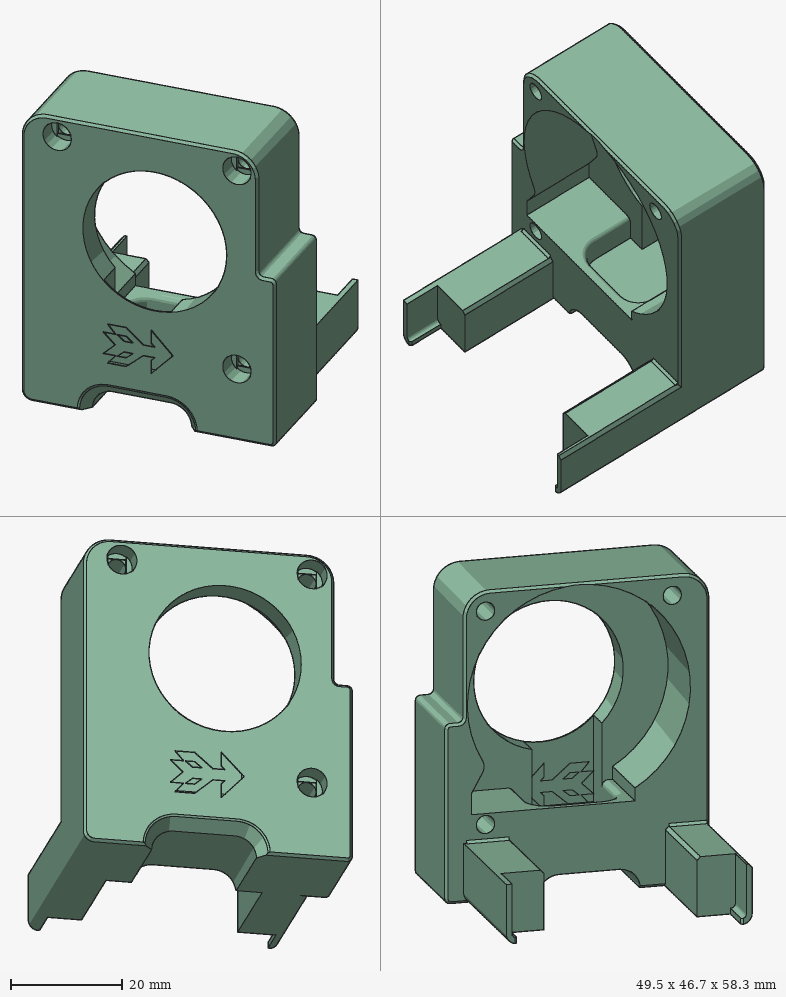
import math

import cadquery as cq

body_width = 49.5
body_height = 58.26
body_depth = 19.7
upper_width = 46.1
step_height = 33.8
top_radius = 5.0
step_fillet = 1.0
left_foot_radius = 2.0
right_corner_radius = 1.0
edge_chamfer = 0.5

arm_reach = 46.7
arm_height = 11.25
arm_block_end = 39.75
left_arm_width = 8.3
right_arm_width = 9.1
arm_wall = 1.1
arm_foot_width = 2.05
arm_top_chamfer = 0.65
arm_foot_chamfer = 0.4
arm_root_chamfer = 0.5

window_diameter = 28.0
window_x = 26.0
window_z = 37.0
front_wall = 5.5
gear_pocket_radius = 20.9
gear_pocket_x = 24.5

screw_diameter = 3.4
counterbore_diameter = 5.5
counterbore_depth = 4.0
bridge_step = 0.3
screw_left_x = 7.0
screw_right_x = 42.0
screw_top_z = 54.45
screw_low_z = 14.45

recess_left = 14.0
recess_right = 44.6
recess_floor = 16.5
recess_top = 20.5
recess_edge_fillet = 1.2
roof_run_per_rise = 0.55
ridge_fillet = 2.35

roof_x = recess_right - gear_pocket_x
roof_z = recess_top - window_z
roof_square = 1 + roof_run_per_rise**2
roof_mixed = roof_z - roof_run_per_rise * roof_x
roof_excess = roof_x**2 + roof_z**2 - gear_pocket_radius**2
ridge_rise = (-roof_mixed - math.sqrt(roof_mixed**2 - roof_square * roof_excess)) / roof_square
ridge_x = recess_right - roof_run_per_rise * ridge_rise
ridge_z = recess_top + ridge_rise

hollow_left = 16.0
hollow_right = 32.5
hollow_front_right = 29.1
hollow_floor = 11.0
hollow_rear = 17.5
hollow_corner_radius = 4.0
skin = 0.3

notch_x = 22.6
notch_flat = 11.2
throat_radius = 4.05
throat_height = 3.9
flare_radius = 5.7
flare_height = 5.95
flare_depth = 2.2
rim_radius = 6.1
rim_height = 6.35
rim_depth = 0.15

arrow_tail_x = 15.95
arrow_z = 14.6
arrow_depth = 0.2
arrow_length = 13.55
head_base = 9.35
head_barb = 10.0
head_half = 4.35
shaft_half = 1.08
shaft_start = 7.8
tail_notch = 2.3
inner_vane_half = 2.16
outer_vane_half = 3.93
outer_vane_start = 0.85
outer_vane_end = 4.45
vane_step = 2.4
slit_start = 2.75
slit_end = 4.45
slit_slant = 1.3


def box(x0, x1, y0, y1, z0, z1):
    return cq.Workplane("XY").box(x1 - x0, y1 - y0, z1 - z0, centered=False).translate((x0, y0, z0))


def profile_plane(y):
    """Plane at depth y whose local axes are X and Z; extrude by a negative length to go toward +Y."""
    return cq.Workplane("XZ", origin=(0, y, 0))


def cylinder(x, z, diameter, y0, y1):
    return profile_plane(y0).center(x, z).circle(diameter / 2).extrude(y0 - y1)


def make_body():
    outline = [
        (0, 0),
        (body_width, 0),
        (body_width, step_height),
        (upper_width, step_height),
        (upper_width, body_height),
        (0, body_height),
    ]
    body = profile_plane(0).polyline(outline).close().extrude(-body_depth)
    corner_radii = [
        (0, 0, left_foot_radius),
        (body_width, 0, right_corner_radius),
        (body_width, step_height, right_corner_radius),
        (upper_width, step_height, step_fillet),
        (upper_width, body_height, top_radius),
        (0, body_height, top_radius),
    ]
    middle = body_depth / 2
    for x, z, radius in corner_radii:
        body = body.edges(cq.selectors.NearestToPointSelector((x, middle, z))).fillet(radius)
    return body.faces("<Y or >Y").edges().chamfer(edge_chamfer)


def make_arm(width):
    """Arm on the left side: a solid block that continues rearward as a thin wall with a curved foot."""
    start = body_depth - 2 * edge_chamfer
    block = box(0, width, start, arm_block_end, 0, arm_height)
    block = block.edges("|Y and >X and >Z").chamfer(arm_top_chamfer)
    wall = box(0, arm_foot_width, start, arm_reach, 0, arm_height)
    wall = wall.edges("|Z and >X and >Y").chamfer(arm_foot_chamfer)
    wall_hollow = box(arm_wall, width, arm_block_end, arm_reach, arm_wall, arm_height)
    wall_hollow = wall_hollow.edges("|Y and <X and <Z").fillet(left_foot_radius - arm_wall)
    arm = block.union(wall).cut(wall_hollow)
    return arm.edges("|Y and <X and <Z").fillet(left_foot_radius)


def arm_root(width):
    """Bevel in the inside corner between the top of an arm and the rear of the body."""
    ahead = body_depth - edge_chamfer
    size = arm_root_chamfer
    root = cq.Workplane("YZ").polyline(
        [
            (ahead, arm_height),
            (body_depth + size, arm_height),
            (body_depth, arm_height + size),
            (ahead, arm_height + size),
        ]
    )
    return root.close().extrude(width - arm_top_chamfer).translate((edge_chamfer, 0, 0))


def make_arms():
    left = make_arm(left_arm_width).edges("|Y and <X and >Z").chamfer(arm_top_chamfer)
    left = left.union(arm_root(left_arm_width - edge_chamfer))
    right = make_arm(right_arm_width).union(arm_root(right_arm_width - edge_chamfer))
    return left.union(right.mirror("YZ").translate((upper_width, 0, 0)))


def screw_hole(x, z):
    """Counterbore whose bottom narrows in two thin steps: a slot, then a square, then the round hole."""
    hole = cylinder(x, z, screw_diameter, 0, body_depth)
    counterbore = cylinder(x, z, counterbore_diameter, 0, counterbore_depth)
    half = screw_diameter / 2
    slot_end = counterbore_depth + bridge_step
    slot = box(x - half, x + half, 0, slot_end, z - counterbore_diameter, z + counterbore_diameter)
    slot = slot.intersect(cylinder(x, z, counterbore_diameter, 0, slot_end))
    square = box(x - half, x + half, 0, slot_end + bridge_step, z - half, z + half)
    return hole.union(counterbore).union(slot).union(square)


def gear_pocket():
    """Round pocket behind the front wall, kept above the level of the recess floor."""
    pocket = cylinder(gear_pocket_x, window_z, 2 * gear_pocket_radius, front_wall, body_depth)
    return pocket.cut(box(0, body_width, 0, body_depth, 0, recess_floor))


def floor_recess():
    """Recess with a sloping roof; the roof meets the gear pocket in a rounded ridge."""
    profile = [
        (recess_left, recess_floor),
        (recess_right, recess_floor),
        (recess_right, recess_top),
        (ridge_x, ridge_z),
        (gear_pocket_x, ridge_z),
        (gear_pocket_x, recess_top),
        (recess_left, recess_top),
    ]
    return profile_plane(front_wall).polyline(profile).close().extrude(front_wall - body_depth)


def rear_cavity():
    cavity = gear_pocket().union(floor_recess())
    ridge = cq.selectors.NearestToPointSelector((ridge_x, (front_wall + body_depth) / 2, ridge_z))
    return cavity.edges("|Y").edges(ridge).fillet(ridge_fillet)


def front_hollow():
    """Space just below the window, covered in front only by the skin."""
    return box(hollow_left, hollow_front_right, skin, front_wall, hollow_floor, window_z)


def rear_hollow():
    """Well in the recess floor, with rounded rear corners."""
    well = box(hollow_left, hollow_right, front_wall, hollow_rear, hollow_floor, recess_floor)
    return well.edges("|Z and >Y").fillet(hollow_corner_radius)


def round_recess_edge(part):
    """Round the edge where the recess floor drops into the hollow."""
    size = recess_edge_fillet
    around = cq.selectors.BoxSelector(
        (hollow_left - size, front_wall + size, recess_floor - size / 2),
        (hollow_right + size, hollow_rear + size, recess_floor + size / 2),
    )
    return part.edges(around).fillet(size)


def notch_section(y, radius, height):
    """Outline of the notch: a flat top between two quarter-round shoulders."""
    left = notch_x - notch_flat / 2
    right = notch_x + notch_flat / 2
    diagonal = radius * math.sqrt(0.5)
    shoulder_z = height - radius
    below = -rim_height
    return (
        profile_plane(y)
        .moveTo(left - radius, below)
        .lineTo(left - radius, shoulder_z)
        .threePointArc((left - diagonal, shoulder_z + diagonal), (left, height))
        .lineTo(right, height)
        .threePointArc((right + diagonal, shoulder_z + diagonal), (right + radius, shoulder_z))
        .lineTo(right + radius, below)
        .close()
    )


def cable_notch():
    passage = notch_section(0, throat_radius, throat_height).extrude(-body_depth)
    throat = notch_section(flare_depth, throat_radius, throat_height).wire().val()
    flare = notch_section(rim_depth, flare_radius, flare_height).wire().val()
    rim = notch_section(0, rim_radius, rim_height).wire().val()
    for front, back in [(rim, flare), (flare, throat)]:
        passage = passage.union(cq.Workplane(cq.Solid.makeLoft([front, back], True)))
    return passage


def engraved(points):
    moved = [(arrow_tail_x + x, arrow_z + z) for x, z in points]
    return profile_plane(0).polyline(moved).close().extrude(-arrow_depth)


def direction_arrow():
    upper = [
        (tail_notch, 0),
        (0, inner_vane_half),
        (vane_step, inner_vane_half),
        (outer_vane_start, outer_vane_half),
        (outer_vane_end, outer_vane_half),
        (shaft_start, shaft_half),
        (head_barb, shaft_half),
        (head_base, shaft_half + head_barb - head_base),
        (head_base, head_half),
    ]
    lower = [(x, -z) for x, z in reversed(upper[1:])]
    arrow = engraved(upper + [(arrow_length, 0)] + lower)
    for side in (1, -1):
        slit = [
            (slit_start, side * inner_vane_half),
            (slit_end, side * inner_vane_half),
            (slit_end + slit_slant, side * shaft_half),
            (slit_start + slit_slant, side * shaft_half),
        ]
        arrow = arrow.cut(engraved(slit))
    return arrow


def build():
    part = make_body().union(make_arms())
    part = part.cut(rear_cavity()).cut(rear_hollow())
    part = round_recess_edge(part).cut(front_hollow())
    part = part.cut(cylinder(window_x, window_z, window_diameter, 0, front_wall))
    for x, z in [
        (screw_left_x, screw_top_z),
        (screw_right_x, screw_top_z),
        (screw_right_x, screw_low_z),
    ]:
        part = part.cut(screw_hole(x, z))
    return part.cut(cable_notch()).cut(direction_arrow())


result = build()